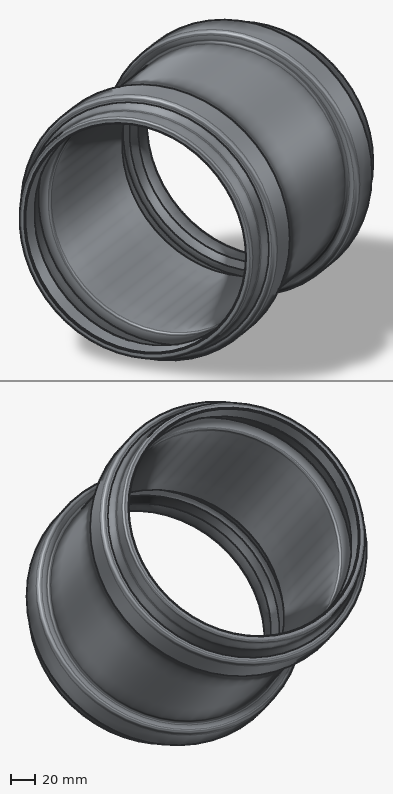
import cadquery as cq
import math

length = 242.0
half_length = length / 2
tube_radius = 213.7 / 2
bore_radius = 201.8 / 2
bead_radius = 234.7 / 2
shoulder_radius = 223.0 / 2
wall = tube_radius - bore_radius

shoulder_start = 16.7
bead_start = 24.2
bead_end = 55.2

bead_round = 3.6
root_round = 2.7
shoulder_round = 3.0
rim_round = 2.0
rim_chamfer = 1.0

groove_radius = bead_radius - wall

shoulder_angle = math.atan2(shoulder_radius - tube_radius, bead_start - shoulder_start)
corner_shift = wall * math.tan(shoulder_angle / 2)
lip_end = shoulder_start + corner_shift
groove_start = bead_start + corner_shift
groove_end = bead_end - wall
groove_round = 2.0

arc_inset = 1 - math.sqrt(0.5)


def ring(profile):
    """Revolve a closed (radius, y) profile about the Y axis."""
    return profile.close().revolve(360, (0, 0, 0), (0, 1, 0))


def rounded_bead():
    """Solid bead with rounded corners, a flared outer shoulder and a blended root."""
    y_start = bead_start - half_length
    y_end = bead_end - half_length
    y_shoulder = shoulder_start - half_length
    flat_radius = bead_radius - bead_round
    corner = bead_round * arc_inset
    root = root_round * arc_inset
    blend = shoulder_round * math.tan(shoulder_angle / 2)
    return ring(
        cq.Workplane("XY")
        .moveTo(bore_radius, y_shoulder - blend)
        .lineTo(tube_radius, y_shoulder - blend)
        .threePointArc(
            (tube_radius + shoulder_round * (1 - math.cos(shoulder_angle / 2)),
             y_shoulder - blend + shoulder_round * math.sin(shoulder_angle / 2)),
            (tube_radius + blend * math.sin(shoulder_angle),
             y_shoulder + blend * math.cos(shoulder_angle)),
        )
        .lineTo(shoulder_radius, y_start)
        .lineTo(flat_radius, y_start)
        .threePointArc((bead_radius - corner, y_start + corner), (bead_radius, y_start + bead_round))
        .lineTo(bead_radius, y_end - bead_round)
        .threePointArc((bead_radius - corner, y_end - corner), (flat_radius, y_end))
        .lineTo(tube_radius + root_round, y_end)
        .threePointArc((tube_radius + root, y_end + root), (tube_radius, y_end + root_round))
        .lineTo(bore_radius, y_end + root_round)
    )


def tube():
    """Plain tube with softened mouth edges."""
    body = cq.Workplane("XZ").circle(tube_radius).extrude(half_length, both=True)
    return body.faces("<Y or >Y").edges().fillet(rim_round)


def bore():
    """Through bore that widens slightly at both mouths."""
    cut = cq.Workplane("XZ").circle(bore_radius).extrude(half_length, both=True)
    for end in (-1, 1):
        y_mouth = end * half_length
        flare = ring(
            cq.Workplane("XY")
            .moveTo(0, y_mouth)
            .lineTo(bore_radius + rim_chamfer, y_mouth)
            .lineTo(bore_radius, y_mouth - end * rim_chamfer)
            .lineTo(0, y_mouth - end * rim_chamfer)
        )
        cut = cut.union(flare)
    return cut


def seal_groove():
    """Internal seal groove: sloped along the shoulder, rounded into the bore."""
    y_lip = lip_end - half_length
    y_start = groove_start - half_length
    y_end = groove_end - half_length
    inset = groove_round * arc_inset
    return ring(
        cq.Workplane("XY")
        .moveTo(0, y_lip)
        .lineTo(bore_radius, y_lip)
        .lineTo(shoulder_radius - wall, y_start)
        .lineTo(groove_radius, y_start)
        .lineTo(groove_radius, y_end)
        .lineTo(bore_radius + groove_round, y_end)
        .threePointArc((bore_radius + inset, y_end + inset), (bore_radius, y_end + groove_round))
        .lineTo(0, y_end + groove_round)
    )


def at_both_ends(shape):
    """Combine a feature with its mirror image at the other end."""
    return shape.union(shape.mirror("XZ"))


result = tube().union(at_both_ends(rounded_bead())).cut(bore()).cut(at_both_ends(seal_groove()))